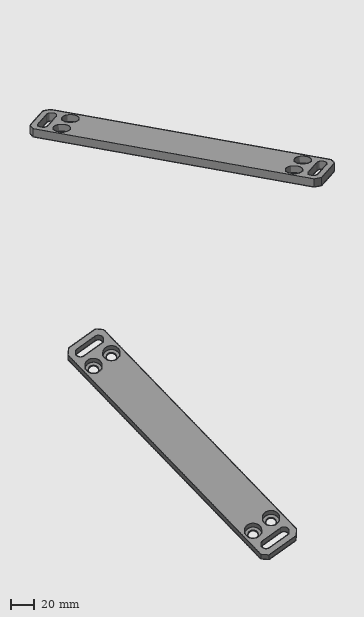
import cadquery as cq

length = 270.0
width = 40.0
thickness = 8.0
corner_chamfer = 5.0

slot_width = 9.0
slot_length = 29.0
slot_end_distance = 10.0

hole_diameter = 9.0
counterbore_diameter = 15.0
counterbore_depth = 6.5
hole_end_distance = 27.5
hole_pitch_y = 20.0

slot_x = length / 2 - slot_end_distance
hole_x = length / 2 - hole_end_distance
hole_y = hole_pitch_y / 2


def make_plate():
    """Flat bar with its underside at Z = 0 and its four corners cut off."""
    plate = cq.Workplane("XY").box(length, width, thickness, centered=(True, True, False))
    return plate.edges("|Z").chamfer(corner_chamfer)


def cut_end_slots(body):
    """Round-ended through slots, one at each end."""
    top = body.faces(">Z").workplane(origin=(0, 0, thickness))
    return top.pushPoints([(-slot_x, 0), (slot_x, 0)]).slot2D(slot_length, slot_width, 90).cutThruAll()


def cut_screw_holes(body):
    """Four through holes, counterbored from the top face."""
    centers = [(x, y) for x in (-hole_x, hole_x) for y in (-hole_y, hole_y)]
    top = body.faces(">Z").workplane(origin=(0, 0, thickness))
    return top.pushPoints(centers).cboreHole(hole_diameter, counterbore_diameter, counterbore_depth)


result = cut_screw_holes(cut_end_slots(make_plate()))